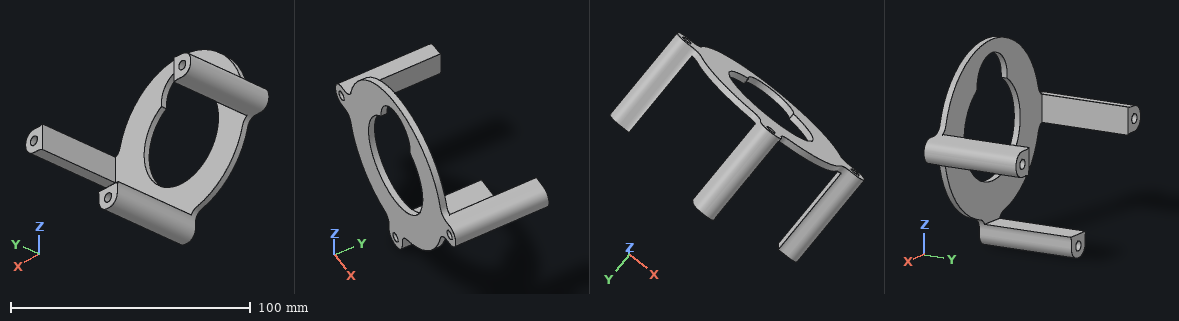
import cadquery as cq
import math

ring_radius = 38.5
bore_radius = 22.5
plate_thickness = 3.0

notch_radius = 12.0
notch_center_z = 20.6

lug_angles = (0, 180, 270)
lug_center_distance = 45.0
hole_diameter = 4.2
lug_corner_radius = 5.105
lug_width = 11.2
root_fillet_radius = 5.0
post_length = 45.0
post_inner_distance = lug_center_distance - lug_corner_radius

half_width = lug_width / 2
root_center_z = half_width + root_fillet_radius
root_center_distance = ring_radius + root_fillet_radius
root_center_x = math.sqrt(root_center_distance**2 - root_center_z**2)


def xz_plane():
    """Workplane on the front face; a negative extrusion runs toward +Y."""
    return cq.Workplane("XZ")


def root_fillet_point(angle):
    """Point on the upper root fillet of the +X lug, angle in radians from +X."""
    x = root_center_x + root_fillet_radius * math.cos(angle)
    z = root_center_z + root_fillet_radius * math.sin(angle)
    return x, z


def mirrored(point):
    """The same point on the other side of the lug's centerline."""
    return point[0], -point[1]


def lug_outline(inner_angle):
    """Outline of the +X lug, ending on its root fillets at the given angle."""
    lug_side_angle = -math.pi / 2
    inner = root_fillet_point(inner_angle)
    middle = root_fillet_point((inner_angle + lug_side_angle) / 2)
    side_start = (root_center_x, half_width)
    side_end = (lug_center_distance, half_width)
    tip_x = lug_center_distance + lug_corner_radius
    tip = (tip_x, half_width - lug_corner_radius)
    corner_offset = lug_corner_radius * math.sqrt(0.5)
    corner = (lug_center_distance + corner_offset, tip[1] + corner_offset)
    return (
        xz_plane()
        .moveTo(*inner)
        .threePointArc(middle, side_start)
        .lineTo(*side_end)
        .threePointArc(corner, tip)
        .lineTo(*mirrored(tip))
        .threePointArc(mirrored(corner), mirrored(side_end))
        .lineTo(*mirrored(side_start))
        .threePointArc(mirrored(middle), mirrored(inner))
        .close()
    )


def make_lug():
    """Plate-thick lug that blends tangentially into the ring."""
    ring_tangent_angle = math.atan2(-root_center_z, -root_center_x)
    return lug_outline(ring_tangent_angle).extrude(-plate_thickness)


def make_post():
    """Full-length post with a flat inner face."""
    inner_angle = -math.acos((post_inner_distance - root_center_x) / root_fillet_radius)
    return lug_outline(inner_angle).extrude(-post_length)


def make_hole():
    return (
        xz_plane()
        .center(lug_center_distance, 0)
        .circle(hole_diameter / 2)
        .extrude(-post_length)
    )


def make_opening():
    """Bore joined with the notch above it."""
    bore = xz_plane().circle(bore_radius).extrude(-plate_thickness)
    notch_top = xz_plane().center(0, notch_center_z).circle(notch_radius).extrude(-plate_thickness)
    notch_sides = (
        xz_plane()
        .center(0, notch_center_z / 2)
        .rect(2 * notch_radius, notch_center_z)
        .extrude(-plate_thickness)
    )
    return bore.union(notch_top).union(notch_sides)


def turn(shape, angle):
    """Rotate about the ring axis, from +X toward +Z."""
    return shape.rotate((0, 0, 0), (0, -1, 0), angle)


result = xz_plane().circle(ring_radius).extrude(-plate_thickness)
result = result.cut(make_opening())
for lug_angle in lug_angles:
    result = result.union(turn(make_lug(), lug_angle))
    result = result.union(turn(make_post(), lug_angle))
    result = result.cut(turn(make_hole(), lug_angle))